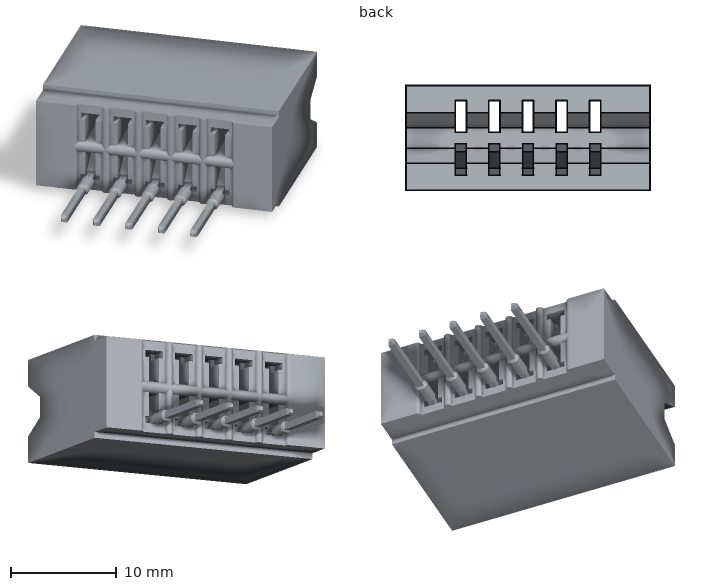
import cadquery as cq


OVERALL_LENGTH = 25.9

HOUSING_WIDTH = 23.1
HOUSING_DEPTH = 16.4
HOUSING_HEIGHT = 9.92
STEP_DEPTH = 2.55
STEP_HEIGHT = 0.57
GROOVE_DEPTH = 2.43
GROOVE_MOUTH = 4.77
GROOVE_FLOOR = 1.97

CONTACT_COUNT = 5
CONTACT_SPAN = 12.7
PITCH = CONTACT_SPAN / (CONTACT_COUNT - 1)
CELL_ROW_WIDTH = CONTACT_COUNT * PITCH
RIB_WIDTH = 0.75
RIB_RADIUS = RIB_WIDTH / 2
BAR_RADIUS = 0.55
SLOT_WIDTH = 1.04
SLOT_TOP = 3.52
WING_WIDTH = 1.86
WING_HEIGHT = 0.67
WING_DEPTH = 2.07

PIN_SIZE = 0.65
PIN_REACH = OVERALL_LENGTH - HOUSING_DEPTH
PIN_Z = -(SLOT_TOP - WING_HEIGHT / 2)
TIP_LENGTH = 0.4
TIP_SIZE = 0.34
COLLAR_WIDTH = 1.2
COLLAR_HEIGHT = 1.05
COLLAR_ROUNDING = 0.52
COLLAR_START = 0.3
COLLAR_LENGTH = 2.07
COLLAR_BEVEL = 0.08
COLLAR_TAPER_LENGTH = 0.2
COLLAR_TAPER_DROP = 0.18
PLATE_WIDTH = 1.81
PLATE_START = 1.04
LEAF_ROOT_Z = -2.75
LEAF_END = 4.15
LEAF_THICKNESS = 0.75

CELL_CENTRES = [(i - (CONTACT_COUNT - 1) / 2) * PITCH for i in range(CONTACT_COUNT)]
RIB_CENTRES = [(i - CONTACT_COUNT / 2) * PITCH for i in range(CONTACT_COUNT + 1)]


def block(width, y_start, y_end, height, x=0, z=0):
    """Box centred on x and z that runs from y_start to y_end."""
    depth = y_end - y_start
    return cq.Workplane("XY").box(width, depth, height).translate((x, y_start + depth / 2, z))


def housing_block():
    """Stepped block with the tapered groove, as one side profile extruded along X."""
    half = HOUSING_HEIGHT / 2
    front_half = half - STEP_HEIGHT
    groove_y = HOUSING_DEPTH - GROOVE_DEPTH
    upper = [
        (0, front_half),
        (STEP_DEPTH, front_half),
        (STEP_DEPTH, half),
        (HOUSING_DEPTH, half),
        (HOUSING_DEPTH, GROOVE_MOUTH / 2),
        (groove_y, GROOVE_FLOOR / 2),
    ]
    lower = [(y, -z) for y, z in reversed(upper)]
    profile = cq.Workplane("YZ").polyline(upper + lower).close()
    return profile.extrude(HOUSING_WIDTH / 2, both=True)


def slot(x, side):
    """Through slot with its blind wing pocket; side is 1 for the upper row, -1 for the lower."""
    slot_height = SLOT_TOP - BAR_RADIUS
    slot_z = side * (SLOT_TOP + BAR_RADIUS) / 2
    wing_z = side * (SLOT_TOP - WING_HEIGHT / 2)
    passage = block(SLOT_WIDTH, 0, HOUSING_DEPTH, slot_height, x, slot_z)
    return passage.union(block(WING_WIDTH, 0, WING_DEPTH, WING_HEIGHT, x, wing_z))


def make_housing():
    """Block with a recess for the cells, its slots, and the rounded ribs and bar that divide it."""
    front_height = HOUSING_HEIGHT - 2 * STEP_HEIGHT
    body = housing_block().cut(block(CELL_ROW_WIDTH, 0, RIB_RADIUS, front_height))
    for x in CELL_CENTRES:
        for side in (1, -1):
            body = body.cut(slot(x, side))
        body = body.cut(block(SLOT_WIDTH, 0, BAR_RADIUS, 2 * SLOT_TOP, x))
    for x in RIB_CENTRES:
        rib = cq.Workplane("XY").center(x, RIB_RADIUS).circle(RIB_RADIUS)
        body = body.union(rib.extrude(front_height / 2, both=True))
    bar = cq.Workplane("YZ").center(BAR_RADIUS, 0).circle(BAR_RADIUS)
    return body.union(bar.extrude(CELL_ROW_WIDTH / 2, both=True))


def rounded_bar(x, y_front, length, inset, chamfer):
    """Rounded bar along the pin, smaller than the collar by inset all round, with chamfered ends."""
    width = COLLAR_WIDTH - 2 * inset
    height = COLLAR_HEIGHT - 2 * inset
    bar = block(width, y_front, y_front + length, height, x, PIN_Z)
    return bar.edges("|Y").fillet(COLLAR_ROUNDING - inset).faces("<Y or >Y").chamfer(chamfer)


def pin_collar(x):
    """Rounded collar with bevelled ends and a tapered shoulder at each end."""
    y_front = -COLLAR_START - COLLAR_LENGTH
    band = rounded_bar(x, y_front, COLLAR_LENGTH, 0, COLLAR_BEVEL)
    core_length = COLLAR_LENGTH + 2 * COLLAR_TAPER_LENGTH
    core = rounded_bar(x, y_front - COLLAR_TAPER_LENGTH, core_length, COLLAR_BEVEL, COLLAR_TAPER_DROP)
    return band.union(core)


def pin_tip(x):
    """Four-sided taper at the free end of the shaft."""
    return (
        cq.Workplane("XZ", origin=(x, TIP_LENGTH - PIN_REACH, PIN_Z))
        .rect(PIN_SIZE, PIN_SIZE)
        .workplane(offset=TIP_LENGTH)
        .rect(TIP_SIZE, TIP_SIZE)
        .loft()
    )


def pin_leaf(x):
    """Contact leaf that rises inside the lower slot until it meets the wall behind the bar."""
    profile = [
        (PLATE_START, LEAF_ROOT_Z - LEAF_THICKNESS),
        (PLATE_START, LEAF_ROOT_Z),
        (LEAF_END, -BAR_RADIUS),
        (LEAF_END, -BAR_RADIUS - LEAF_THICKNESS),
    ]
    leaf = cq.Workplane("YZ", origin=(x, 0, 0)).polyline(profile).close()
    return leaf.extrude(SLOT_WIDTH / 2, both=True)


def make_pin(x):
    """One contact pin, from its free tip to the leaf inside the housing."""
    shaft = block(PIN_SIZE, TIP_LENGTH - PIN_REACH, PLATE_START, PIN_SIZE, x, PIN_Z)
    plate = block(PLATE_WIDTH, PLATE_START, WING_DEPTH, PIN_SIZE, x, PIN_Z)
    return shaft.union(pin_tip(x)).union(pin_collar(x)).union(plate).union(pin_leaf(x))


housing = make_housing()
pins = [make_pin(x) for x in CELL_CENTRES]
result = cq.Compound.makeCompound([housing.val(), *[pin.val() for pin in pins]])